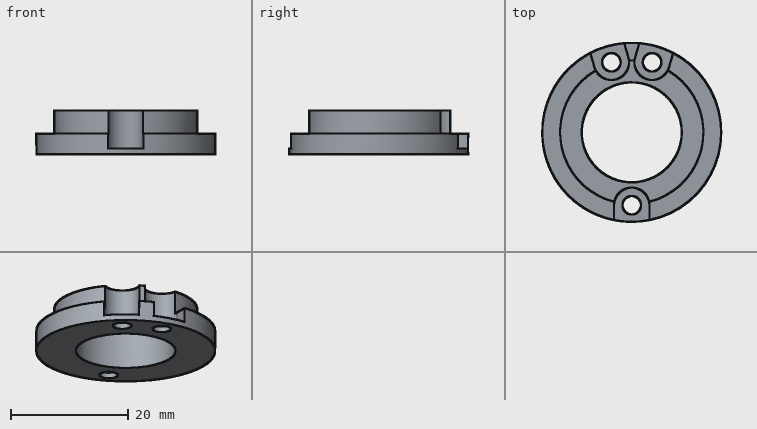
import cadquery as cq

flange_diameter = 30.5
collar_diameter = 24.4
bore_diameter = 17.0
total_height = 7.5
flange_height = 3.55

screw_circle_radius = 12.4
screw_hole_diameter = 3.1
seat_width = 6.0
seat_floor_height = 1.05
upper_seat_half_angle = 16.2
seat_angles = (-90, 90 - upper_seat_half_angle, 90 + upper_seat_half_angle)


def make_ring():
    flange = cq.Workplane("XY").circle(flange_diameter / 2).extrude(flange_height)
    collar = cq.Workplane("XY").circle(collar_diameter / 2).extrude(total_height)
    bore = cq.Workplane("XY").circle(bore_diameter / 2).extrude(total_height)
    return flange.union(collar).cut(bore)


def make_seat_cutter(angle):
    """Round-ended slot running radially out past the rim, with a screw hole below it."""
    slot_length = flange_diameter / 2
    slot_depth = total_height - seat_floor_height
    floor = cq.Workplane("XY", origin=(screw_circle_radius, 0, seat_floor_height))
    round_end = floor.circle(seat_width / 2).extrude(slot_depth)
    open_end = floor.rect(slot_length, seat_width, centered=(False, True)).extrude(slot_depth)
    hole = (
        cq.Workplane("XY", origin=(screw_circle_radius, 0, 0))
        .circle(screw_hole_diameter / 2)
        .extrude(total_height)
    )
    cutter = round_end.union(open_end).union(hole)
    return cutter.rotate((0, 0, 0), (0, 0, 1), angle)


result = make_ring()
for seat_angle in seat_angles:
    result = result.cut(make_seat_cutter(seat_angle))